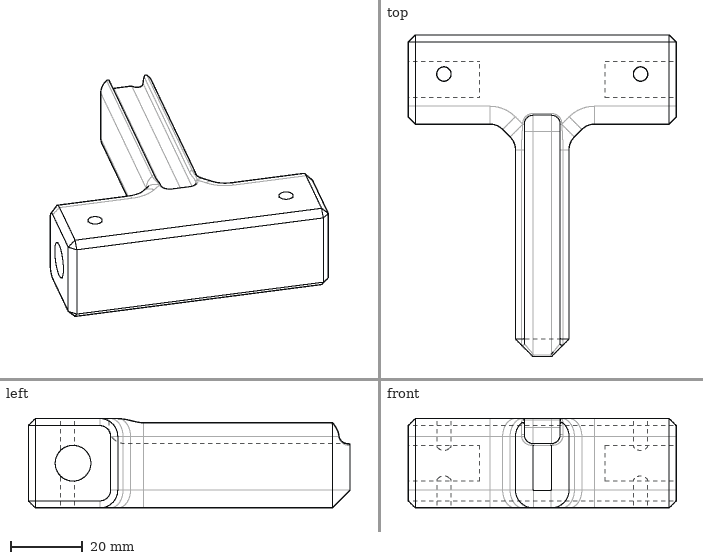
import cadquery as cq

head_length = 75.0
head_size = 25.0
head_chamfer = 2.0
back_y = head_size

total_depth = 90.0
stem_length = total_depth - head_size
stem_width = 15.0
gusset_leg = 5.0
corner_radius = 5.0
edge_radius = 5.0
tip_chamfer = 4.95

channel_width = 10.0
channel_depth = 7.0
channel_floor_radius = (channel_width - (stem_width - 2 * tip_chamfer)) / 2
channel_scoop_radius = 4.5
channel_reach = 2.5
rim_radius = 0.495
cutter_overrun = 4.5

bore_diameter = 10.0
bore_depth = 20.0
bore_y = back_y - head_size / 2
pin_diameter = 4.0
pin_spacing = 55.0
pin_setback = 11.0
pin_y = back_y - pin_setback

touch_tolerance = 0.001
pick_margin = 0.1

top_z = head_size / 2


def t_blank():
    """T-shaped block with 45 degree gussets, rounded where they meet head and stem."""
    half_head = head_length / 2
    half_stem = stem_width / 2
    half_outline = [
        (0, back_y),
        (half_head, back_y),
        (half_head, 0),
        (half_stem + gusset_leg, 0),
        (half_stem, -gusset_leg),
        (half_stem, -stem_length),
        (0, -stem_length),
    ]
    mirrored = [(-x, y) for x, y in reversed(half_outline[1:-1])]
    blank = (
        cq.Workplane("XY", origin=(0, 0, -top_z))
        .polyline(half_outline + mirrored)
        .close()
        .extrude(head_size)
    )
    gusset_box = cq.selectors.BoxSelector(
        (-half_head + pick_margin, -gusset_leg - pick_margin, -top_z - pick_margin),
        (half_head - pick_margin, pick_margin, top_z + pick_margin),
    )
    return blank.edges("|Z").edges(gusset_box).fillet(corner_radius)


def round_long_edges(body):
    """Round the top and bottom edges along the head front, the gussets and the stem."""
    front_zone = cq.selectors.BoxSelector(
        (-head_length, -stem_length + pick_margin, -head_size),
        (head_length, pick_margin, head_size),
    )
    return body.faces("|Z").edges(front_zone).fillet(edge_radius)


def channel_cutter():
    """Rounded trough with a scooped inner end, running out through the tip."""
    length = stem_length + channel_reach + cutter_overrun
    height = channel_depth + cutter_overrun
    trough = cq.Workplane("XY").box(channel_width, length, height, centered=(True, False, False))
    trough = trough.translate((0, channel_reach - length, top_z - channel_depth))
    trough = trough.faces("<Z").edges(">Y").fillet(channel_scoop_radius)
    side_edges = trough.faces("<Z").edges("|Y")
    return side_edges.fillet(channel_floor_radius)


def rim_edges(cut_body, body, cutter):
    """Edges of the cut body where the channel walls meet the outer skin."""
    outer_skin = body.val().Shells()[0]
    channel_skin = cutter.val().Shells()[0]

    def on_rim(edge):
        middle = cq.Vertex.makeVertex(*edge.positionAt(0.5).toTuple())
        return max(outer_skin.distance(middle), channel_skin.distance(middle)) < touch_tolerance

    return [edge for edge in cut_body.edges().vals() if on_rim(edge)]


def cut_channel(body):
    """Cut the channel and round its rim."""
    cutter = channel_cutter()
    cut_body = body.cut(cutter)
    return cut_body.newObject(rim_edges(cut_body, body, cutter)).fillet(rim_radius)


def drill_holes(body):
    """Drill a blind bore into each end of the head and the two vertical pin holes."""
    half_head = head_length / 2
    for side in (-1, 1):
        bore = (
            cq.Workplane("YZ", origin=(side * half_head, bore_y, 0))
            .circle(bore_diameter / 2)
            .extrude(-side * bore_depth)
        )
        body = body.cut(bore)
    pins = (
        cq.Workplane("XY")
        .pushPoints([(-pin_spacing / 2, pin_y), (pin_spacing / 2, pin_y)])
        .circle(pin_diameter / 2)
        .extrude(head_size, both=True)
    )
    return body.cut(pins)


body = round_long_edges(t_blank())
body = body.faces("<Y").chamfer(tip_chamfer)
body = body.faces("<X or >X or >Y").edges().chamfer(head_chamfer)
body = cut_channel(body)
result = drill_holes(body).solids()